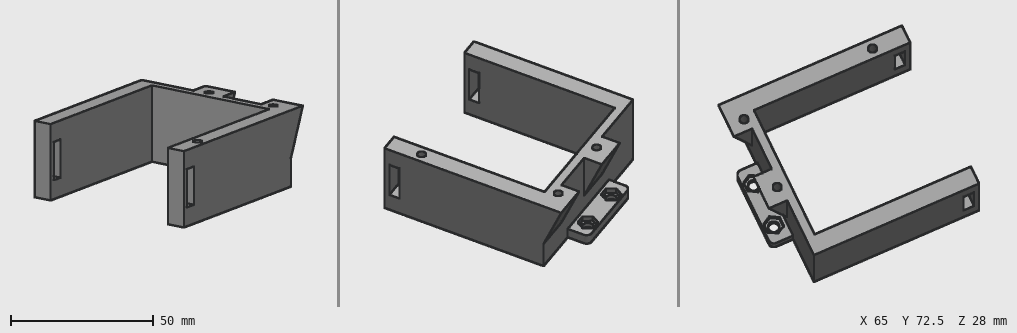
import cadquery as cq

frame_width = 65.0
frame_depth = 64.0
frame_height = 28.0
arm_thickness = 7.0
back_wall_thickness = 3.5

slot_width = 4.0
slot_height = 14.0
slot_front_margin = 2.0

lug_width = 13.0
lug_reach = 7.1
lug_height = 17.5
lug_left_edges = (22.5, frame_width - lug_width)

tab_width = 30.0
tab_reach = 8.5
tab_thickness = 4.0
tab_corner_radius = 2.0
tab_hole_diameter = 4.0
tab_hole_spacing = 17.0
tab_hole_edge_distance = 4.0
nut_sides = 6
nut_across_corners = 7.1
nut_pocket_depth = 2.0

screw_hole_diameter = 3.1
screw_hole_depth = 10.0
lug_hole_setback = 1.1
lug_hole_offset = 6.0
lug_hole_spacing = 27.9
arm_hole_front_distance = 13.0

frame_center_x = frame_width / 2
tab_hole_y = frame_depth + tab_reach - tab_hole_edge_distance
first_lug_hole_x = lug_left_edges[0] + lug_hole_offset
lug_hole_y = frame_depth + lug_hole_setback
screw_hole_points = [
    (first_lug_hole_x, lug_hole_y),
    (first_lug_hole_x + lug_hole_spacing, lug_hole_y),
    (frame_width - arm_thickness / 2, arm_hole_front_distance),
]
tab_hole_points = [
    (frame_center_x - tab_hole_spacing / 2, tab_hole_y),
    (frame_center_x + tab_hole_spacing / 2, tab_hole_y),
]


def make_frame():
    """U-shaped frame extruded to full height."""
    outer = cq.Workplane("XY").box(frame_width, frame_depth, frame_height, centered=False)
    opening = (
        cq.Workplane("XY", origin=(arm_thickness, 0, 0))
        .box(
            frame_width - 2 * arm_thickness,
            frame_depth - back_wall_thickness,
            frame_height,
            centered=False,
        )
    )
    return outer.cut(opening)


def make_lug(left_edge):
    """Triangular lug, full reach at the top and tapering down to the back wall."""
    return (
        cq.Workplane("YZ", origin=(left_edge, 0, 0))
        .moveTo(frame_depth, frame_height)
        .lineTo(frame_depth + lug_reach, frame_height)
        .lineTo(frame_depth, frame_height - lug_height)
        .close()
        .extrude(lug_width)
    )


def make_tab():
    """Flat tab with rounded rear corners, bolt holes and hexagonal nut pockets."""
    tab = (
        cq.Workplane("XY", origin=(frame_center_x - tab_width / 2, frame_depth, 0))
        .box(tab_width, tab_reach, tab_thickness, centered=False)
        .edges("|Z and >Y")
        .fillet(tab_corner_radius)
    )
    bolt_holes = (
        cq.Workplane("XY")
        .pushPoints(tab_hole_points)
        .circle(tab_hole_diameter / 2)
        .extrude(tab_thickness)
    )
    nut_pockets = (
        cq.Workplane("XY", origin=(0, 0, tab_thickness))
        .pushPoints(tab_hole_points)
        .polygon(nut_sides, nut_across_corners)
        .extrude(-nut_pocket_depth)
    )
    return tab.cut(bolt_holes).cut(nut_pockets)


def make_slots():
    """Cutter through both arms, centred on the frame height."""
    slot_bottom = (frame_height - slot_height) / 2
    return (
        cq.Workplane("XY", origin=(0, slot_front_margin, slot_bottom))
        .box(frame_width, slot_width, slot_height, centered=False)
    )


def make_screw_holes():
    """Cutters for the blind holes, running down from the top face."""
    return (
        cq.Workplane("XY", origin=(0, 0, frame_height))
        .pushPoints(screw_hole_points)
        .circle(screw_hole_diameter / 2)
        .extrude(-screw_hole_depth)
    )


part = make_frame().union(make_tab())
for lug_left_edge in lug_left_edges:
    part = part.union(make_lug(lug_left_edge))

result = part.cut(make_slots()).cut(make_screw_holes())